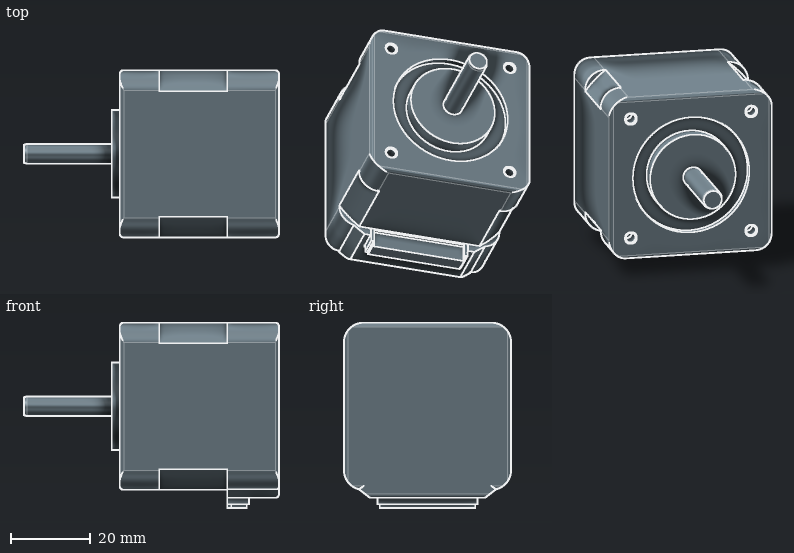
import cadquery as cq
import math

body_size = 42.0
half_body = body_size / 2
front_cap_length = 9.9
stator_length = 17.1
rear_cap_length = 13.0
rear_cap_start = front_cap_length + stator_length
cap_corner_radius = 5.0
cap_edge_radius = 1.0
stator_diameter = 52.5

shaft_diameter = 5.0
shaft_length = 24.0
shaft_chamfer_length = 0.7
shaft_chamfer_height = 0.2
boss_diameter = 22.0
boss_height = 2.0
recess_diameter = 30.0
recess_depth = 2.0

hole_spacing = 31.0
hole_diameter = 2.5
hole_mouth_diameter = 3.1
hole_depth = 4.5
hole_tip_angle = 118.0

flap_depth = 2.0
flap_top_width = 34.4
flap_bottom_width = 28.8
flap_edge_radius = cap_edge_radius
flap_slot_gap = 0.2

housing_width = 25.2
housing_length = 5.5
housing_bottom = -24.6
plug_width = 24.0
plug_length = 4.9
plug_bottom = -25.55
plug_wall = 0.2
plug_recess_top = -21.4
plug_recess_depth = 1.0


def block(x_start, length, width, z_bottom, z_top):
    """Box from x_start along +X, centred on Y = 0."""
    height = z_top - z_bottom
    return (
        cq.Workplane("XY")
        .box(length, width, height, centered=(False, True, False))
        .translate((x_start, 0, z_bottom))
    )


def disc(x_start, length, diameter):
    """Cylinder on the motor axis from x_start along +X."""
    return cq.Workplane("YZ", origin=(x_start, 0, 0)).circle(diameter / 2).extrude(length)


def square_block(x_start, length):
    return block(x_start, length, body_size, -half_body, half_body)


def end_cap(x_start, length, outer_face):
    """Square cap with its outer face edges rounded, then its four corners rounded through."""
    corners = square_block(x_start, length).edges("|X").fillet(cap_corner_radius)
    cap = square_block(x_start, length).faces(outer_face).edges().fillet(cap_edge_radius)
    return cap.intersect(corners)


def stator():
    stock = disc(front_cap_length, stator_length, stator_diameter)
    return square_block(front_cap_length, stator_length).intersect(stock)


def shaft():
    """Shaft with a slender chamfer on its free end."""
    radius = shaft_diameter / 2
    return (
        cq.Workplane("XY")
        .moveTo(-shaft_length, 0)
        .lineTo(-shaft_length, radius - shaft_chamfer_height)
        .lineTo(-shaft_length + shaft_chamfer_length, radius)
        .lineTo(recess_depth, radius)
        .lineTo(recess_depth, 0)
        .close()
        .revolve(360, (0, 0, 0), (1, 0, 0))
    )


def mounting_holes():
    half = hole_spacing / 2
    mouth_chamfer = (hole_mouth_diameter - hole_diameter) / 2
    radius = hole_diameter / 2
    tip = radius / math.tan(math.radians(hole_tip_angle / 2))
    hole = (
        cq.Workplane("XY")
        .lineTo(0, radius + mouth_chamfer)
        .lineTo(mouth_chamfer, radius)
        .lineTo(hole_depth, radius)
        .lineTo(hole_depth + tip, 0)
        .close()
        .revolve(360, (0, 0, 0), (1, 0, 0))
    )
    holes = cq.Workplane("XY")
    for y in (-half, half):
        for z in (-half, half):
            holes = holes.add(hole.translate((0, y, z)))
    return holes.combine()


def connector_flap():
    """Tapered flap below the rear cap, slotted for the connector housing."""
    half_top = flap_top_width / 2
    half_bottom = flap_bottom_width / 2
    corner_centre = half_body - cap_corner_radius
    z_bottom = -half_body - flap_depth
    z_side = -corner_centre - math.sqrt(cap_corner_radius**2 - (half_top - corner_centre) ** 2)
    z_inside = -half_body + cap_edge_radius
    outline = [
        (-corner_centre, z_inside),
        (-half_top, z_side),
        (-half_bottom, z_bottom),
        (half_bottom, z_bottom),
        (half_top, z_side),
        (corner_centre, z_inside),
    ]
    profile = cq.Workplane("YZ", origin=(rear_cap_start, 0, 0)).polyline(outline).close()
    flap = profile.extrude(rear_cap_length)
    flap = flap.faces(">X").edges("<Z").fillet(flap_edge_radius)
    slot_width = housing_width + 2 * flap_slot_gap
    return flap.cut(block(rear_cap_start, housing_length + flap_slot_gap, slot_width, z_bottom, -half_body))


def connector():
    """Housing in the flap slot with a narrower, deeper plug whose front face is recessed."""
    housing = block(rear_cap_start, housing_length, housing_width, housing_bottom, -half_body)
    plug = block(rear_cap_start, plug_length, plug_width, plug_bottom, -half_body)
    recess_width = plug_width - 2 * plug_wall
    recess = block(rear_cap_start, plug_recess_depth, recess_width, plug_bottom, plug_recess_top)
    return housing.union(plug).cut(recess)


def motor():
    body = (
        end_cap(0, front_cap_length, "<X")
        .union(stator())
        .union(end_cap(rear_cap_start, rear_cap_length, ">X"))
        .union(connector_flap())
        .union(connector())
    )
    boss_ring = disc(0, recess_depth, recess_diameter).cut(disc(0, recess_depth, boss_diameter))
    boss = disc(-boss_height, boss_height, boss_diameter)
    return body.cut(boss_ring).union(boss).union(shaft()).cut(mounting_holes())


result = motor()